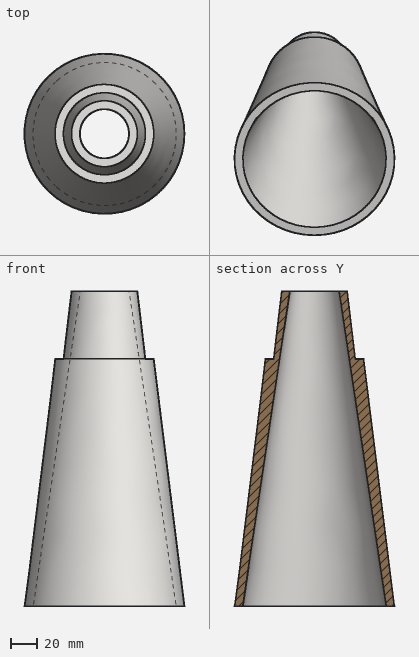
import cadquery as cq

height = 239.5
neck_height = 51.5
shoulder_z = height - neck_height

base_diameter = 121.7
shoulder_diameter = 75.0
neck_root_diameter = 62.3
neck_top_diameter = 50.0

wall = 6.5


def tapered_sleeve():
    """Conical body with a stepped neck and a single tapered through bore."""
    base_radius = base_diameter / 2
    neck_top_radius = neck_top_diameter / 2
    half_section = [
        (base_radius - wall, 0),
        (base_radius, 0),
        (shoulder_diameter / 2, shoulder_z),
        (neck_root_diameter / 2, shoulder_z),
        (neck_top_radius, height),
        (neck_top_radius - wall, height),
    ]
    return cq.Workplane("XZ").polyline(half_section).close().revolve(360, (0, 0), (0, 1))


result = tapered_sleeve()